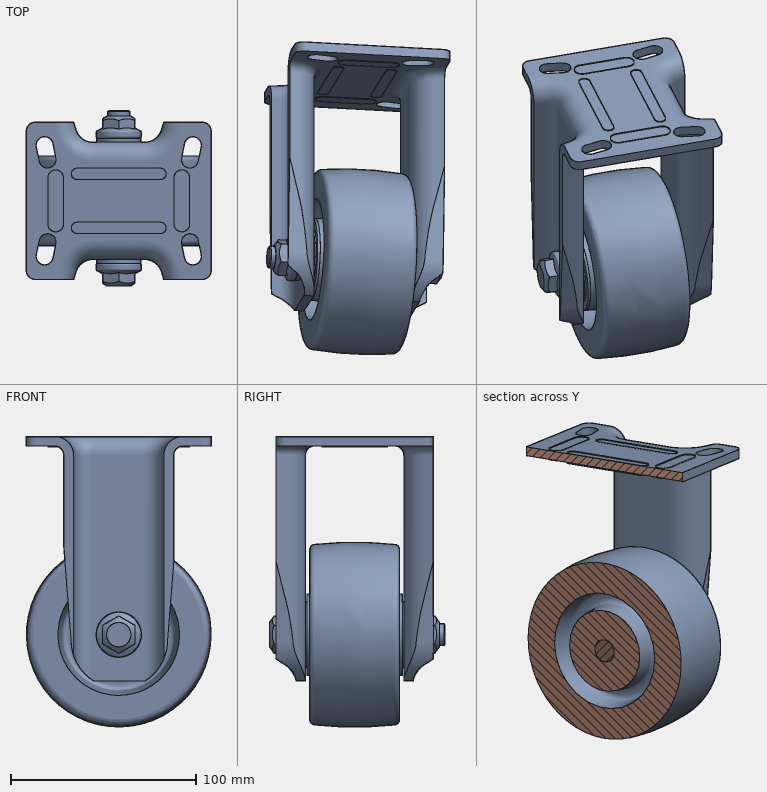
import cadquery as cq
import math


total_height = 157.0
plate_length = 100.0
plate_width = 85.0
wheel_radius = plate_length / 2
plate_top = total_height - wheel_radius

sheet = 5.2
bend_radius = 10.0
leg_outer_y = 31.7
leg_inner_y = leg_outer_y - sheet
flat_half_width = 14.1
flare_radius = 9.3
flare_angle = 72.5
plate_corner_radius = 5.0
clearance = 31.4
pick_margin = 0.2

leg_bottom = -25.0
wing_half_width = 30.1
taper_top = 48.7
toe_center_z = -3.0
toe_radius = 26.0
leg_shift = 0.3

slot_radius = 4.5
slot_outer = (40.0, 30.0)
slot_inner = (38.5, 22.3)
emboss_depth = 0.5
bead_length = 51.2
bead_width = 6.1
bead_y = 14.6
label_length = 33.5
label_width = 8.5
label_x = 34.0

wheel_half_width = 24.3
tread_edge_radius = 48.5
tread_round = 3.0
hub_radius = 22.0
hub_end = 25.7
spacer_radius = 17.9
recess_floor = 4.7
recess_mouth_radius = 32.8
recess_draft = 8.0
hub_draft = 4.3
recess_round = 3.0

shank_radius = 6.0
shank_end = 48.8
shank_chamfer = 0.6
washer_radius = 12.0
washer_thickness = 2.0
washer_outer_y = leg_outer_y + washer_thickness
flange_radius = 12.2
flange_round = 1.1
flange_rim = 3.8
hex_flats = 17.5
hex_turn = 30.0
hex_cone_slope = 36.0
hex_end_radius = 6.6
bolt_head_height = 12.2
nut_height = 12.1
flange_cone_slope = 28.0


def bent_block(inset, top, bend, length, width):
    """Block below the given top, hollowed front and back by the leg curve and rounded along it.

    The inset moves the leg curve inwards, and width is the full depth along Y."""
    edge_y = width / 2
    radius = flare_radius + inset
    turn = math.radians(flare_angle)
    flat_y = leg_outer_y - inset
    center_y = leg_outer_y + flare_radius

    def arc_point(angle):
        return (flat_half_width + radius * math.sin(angle), center_y - radius * math.cos(angle))

    arc_middle = arc_point(turn / 2)
    arc_end = arc_point(turn)
    edge_x = arc_end[0] + (edge_y - arc_end[1]) / math.tan(turn)
    quarter = (
        cq.Workplane("XY")
        .workplane(offset=leg_bottom)
        .moveTo(0, 0)
        .lineTo(length / 2, 0)
        .lineTo(length / 2, edge_y)
        .lineTo(edge_x, edge_y)
        .lineTo(*arc_end)
        .threePointArc(arc_middle, (flat_half_width, flat_y))
        .lineTo(0, flat_y)
        .close()
        .extrude(top - leg_bottom)
    )
    rim = cq.selectors.BoxSelector(
        (-pick_margin, flat_y - pick_margin, top - pick_margin),
        (edge_x - pick_margin, edge_y - pick_margin, top + pick_margin),
    )
    quarter = quarter.edges(rim).fillet(bend)
    back = quarter.union(quarter.mirror("YZ"))
    return back.union(back.mirror("XZ"))


def leg_envelope():
    """Space that bounds the fork: tapered legs with rounded toes, and the whole plate."""
    toe_end_x = math.sqrt(toe_radius**2 - (leg_bottom - toe_center_z) ** 2)
    toe_turn = math.atan2(leg_bottom - toe_center_z, toe_end_x)
    toe_middle = (
        toe_radius * math.cos(toe_turn / 2),
        toe_center_z + toe_radius * math.sin(toe_turn / 2),
    )
    half = (
        cq.Workplane("XZ")
        .moveTo(0, leg_bottom)
        .lineTo(toe_end_x, leg_bottom)
        .threePointArc(toe_middle, (toe_radius, toe_center_z))
        .lineTo(wing_half_width, taper_top)
        .lineTo(plate_length, taper_top)
        .lineTo(plate_length, plate_top)
        .lineTo(0, plate_top)
        .close()
        .extrude(plate_width / 2 + clearance, both=True)
    )
    return half.union(half.mirror("YZ")).translate((leg_shift, 0, 0))


def pad_pair(length, width, x, y, angle, bottom):
    """Two round-ended pads as thick as the emboss depth, at (x, y) and its opposite point."""
    return (
        cq.Workplane("XY")
        .workplane(offset=bottom)
        .pushPoints([(x, y), (-x, -y)])
        .slot2D(length, width, angle)
        .extrude(emboss_depth)
    )


def embossing(bottom):
    """The two long beads and the two label pads."""
    beads = pad_pair(bead_length, bead_width, 0, bead_y, 0, bottom)
    labels = pad_pair(label_length, label_width, label_x, 0, 90, bottom)
    return beads.union(labels)


def mounting_slots():
    """Four slots, tilted so that each pair splays outwards."""
    run = slot_inner[0] - slot_outer[0], slot_inner[1] - slot_outer[1]
    center = (slot_inner[0] + slot_outer[0]) / 2, (slot_inner[1] + slot_outer[1]) / 2
    tilt = math.degrees(math.atan2(run[1], run[0]))
    slot = (
        cq.Workplane("XY")
        .workplane(offset=plate_top - 2 * sheet)
        .center(*center)
        .slot2D(math.hypot(*run) + 2 * slot_radius, 2 * slot_radius, tilt)
        .extrude(3 * sheet)
    )
    pair = slot.union(slot.mirror("YZ"))
    return pair.union(pair.mirror("XZ"))


def axle_hole():
    return cq.Workplane("XZ").circle(shank_radius).extrude(total_height, both=True)


def make_fork():
    """Mounting plate and two flared legs, bent from one sheet."""
    outside = bent_block(0, plate_top, bend_radius, plate_length, plate_width)
    outside = outside.edges("|Z").edges("<X or >X").fillet(plate_corner_radius)
    inside = bent_block(
        sheet,
        plate_top - sheet,
        bend_radius - sheet,
        plate_length + clearance,
        plate_width + clearance,
    )
    fork = outside.cut(inside).intersect(leg_envelope())
    fork = fork.union(embossing(plate_top - sheet - emboss_depth))
    fork = fork.cut(embossing(plate_top - emboss_depth))
    return fork.cut(mounting_slots()).cut(axle_hole())


def make_wheel():
    """Crowned tread with a thin web, a drafted ring recess on each side and a stepped hub."""
    tread = (
        cq.Workplane("XY")
        .moveTo(0, -wheel_half_width)
        .lineTo(tread_edge_radius, -wheel_half_width)
        .threePointArc((wheel_radius, 0), (tread_edge_radius, wheel_half_width))
        .lineTo(0, wheel_half_width)
        .close()
        .revolve(360, (0, 0, 0), (0, 1, 0))
        .faces("<Y or >Y")
        .edges()
        .fillet(tread_round)
    )
    hub = cq.Workplane("XZ").circle(hub_radius).extrude(hub_end, both=True)
    spacer = cq.Workplane("XZ").circle(spacer_radius).extrude(leg_inner_y, both=True)

    wall_slope = math.tan(math.radians(recess_draft))
    hub_slope = math.tan(math.radians(hub_draft))
    recess = (
        cq.Workplane("XY")
        .moveTo(hub_radius, hub_end)
        .lineTo(hub_radius + (hub_end - recess_floor) * hub_slope, recess_floor)
        .lineTo(recess_mouth_radius - (wheel_half_width - recess_floor) * wall_slope, recess_floor)
        .lineTo(recess_mouth_radius + (hub_end - wheel_half_width) * wall_slope, hub_end)
        .close()
        .revolve(360, (0, 0, 0), (0, 1, 0))
        .faces("<Y")
        .edges()
        .fillet(recess_round)
    )
    wheel = tread.union(hub).union(spacer)
    return wheel.cut(recess).cut(recess.mirror("XZ")).cut(axle_hole())


def flanged_hex(base, height):
    """Hexagon with a round flange, standing on the plane Y = base and pointing to +Y."""
    corner_radius = hex_flats / math.sqrt(3)
    end = base + height
    flange_cone = math.tan(math.radians(flange_cone_slope))
    flange = (
        cq.Workplane("XY")
        .moveTo(0, base)
        .lineTo(flange_radius, base)
        .lineTo(flange_radius, base + flange_rim)
        .lineTo(0, base + flange_rim + flange_radius * flange_cone)
        .close()
        .revolve(360, (0, 0, 0), (0, 1, 0))
    )
    pick_reach = flange_radius + pick_margin
    rim = cq.selectors.BoxSelector(
        (-pick_reach, base - pick_margin, -pick_reach),
        (pick_reach, base + flange_rim + pick_margin, pick_reach),
        boundingbox=True,
    )
    flange = flange.edges(rim).edges("%CIRCLE").fillet(flange_round)
    hexagon = (
        cq.Workplane("XZ", origin=(0, base, 0))
        .polygon(6, 2 * corner_radius)
        .extrude(-height)
        .rotate((0, 0, 0), (0, 1, 0), hex_turn)
    )
    cone_drop = (flange_radius - hex_end_radius) * math.tan(math.radians(hex_cone_slope))
    end_cone = (
        cq.Workplane("XY")
        .moveTo(0, base)
        .lineTo(flange_radius, base)
        .lineTo(flange_radius, end - cone_drop)
        .lineTo(hex_end_radius, end)
        .lineTo(0, end)
        .close()
        .revolve(360, (0, 0, 0), (0, 1, 0))
    )
    return flange.union(hexagon.intersect(end_cone))


def make_bolt():
    head = flanged_hex(washer_outer_y, bolt_head_height).mirror("XZ")
    shank = (
        cq.Workplane("XZ", origin=(0, -washer_outer_y, 0))
        .circle(shank_radius)
        .extrude(-(washer_outer_y + shank_end))
        .faces(">Y")
        .chamfer(shank_chamfer)
    )
    return head.union(shank)


def make_nut():
    return flanged_hex(washer_outer_y, nut_height).cut(axle_hole())


def make_washer(inner_y):
    return (
        cq.Workplane("XZ", origin=(0, inner_y, 0))
        .circle(washer_radius)
        .circle(shank_radius)
        .extrude(-washer_thickness)
    )


fork = make_fork()
wheel = make_wheel()
bolt = make_bolt()
nut = make_nut()
washers = [make_washer(inner_y) for inner_y in (leg_outer_y, -washer_outer_y)]

result = cq.Compound.makeCompound(
    [fork.val(), wheel.val(), bolt.val(), nut.val(), *[washer.val() for washer in washers]]
)